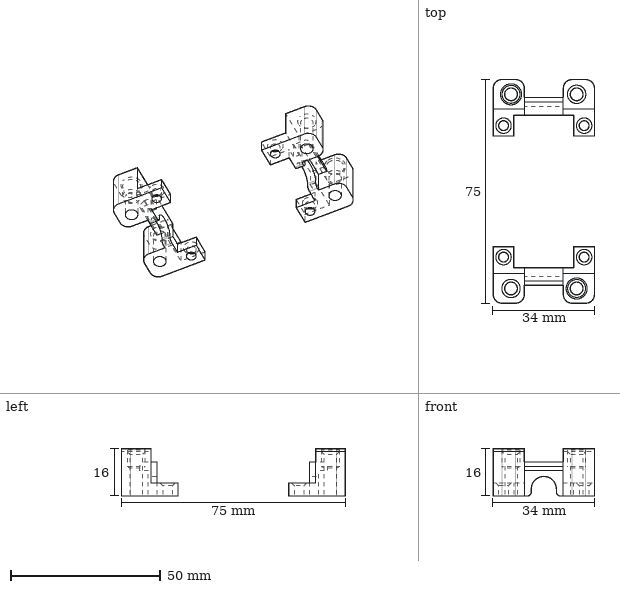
import cadquery as cq
import math


pair_length = 75.0
bracket_width = 34.0
tall_height = 16.0
height_step = 1.0
short_height = tall_height - height_step

column_width = 10.5
column_depth = 10.0
column_corner_radius = 3.0
base_depth = 12.0
foot_reach = 19.0
foot_width = 7.0
foot_height = 4.5

bridge_top = 11.5
bridge_underside = 8.55
bridge_depth = 6.0
bridge_chamfer = 1.5
web_thickness = 3.0

arch_width = 8.3
arch_top = 6.6
arch_lip_radius = 1.5

column_hole_spacing = 22.0
column_hole_diameter = 4.2
countersink_depth = 1.0
counterbore_diameter = 6.0
counterbore_depth = 6.0
counterbore_chamfer = 0.5
seat_angle = 118

foot_hole_diameter = 3.2

outer_y = -pair_length / 2
column_back_y = outer_y + column_depth
base_back_y = outer_y + base_depth
column_center_x = (bracket_width - column_width) / 2
column_hole_x = column_hole_spacing / 2
column_hole_y = outer_y + column_depth / 2
foot_center_x = (bracket_width - foot_width) / 2
foot_hole_y = outer_y + foot_reach - foot_width / 2
bridge_length = bracket_width - 2 * column_width


def block(center_x, width, y_start, y_end, height):
    """Box standing on z = 0 between two y positions."""
    return (
        cq.Workplane("XY")
        .center(center_x, (y_start + y_end) / 2)
        .rect(width, y_end - y_start)
        .extrude(height)
    )


def column(center_x, height):
    """Upright column with its two outer corners rounded."""
    post = block(center_x, column_width, outer_y, column_back_y, height)
    return post.edges("|Z and <Y").fillet(column_corner_radius)


def side_base(side):
    """Low pad behind a column, with the screw foot reaching inward from it."""
    y_start = column_back_y - column_corner_radius
    pad = block(side * column_center_x, column_width, y_start, base_back_y, foot_height)
    foot = block(side * foot_center_x, foot_width, y_start, outer_y + foot_reach, foot_height)
    return pad.union(foot)


def bridge():
    """Thin web with a thicker chamfered bar along its top."""
    bar_front_y = base_back_y - bridge_depth
    web_front_y = base_back_y - web_thickness
    return (
        cq.Workplane("YZ", origin=(-bridge_length / 2, 0, 0))
        .moveTo(base_back_y, 0)
        .lineTo(base_back_y, bridge_top)
        .lineTo(bar_front_y + bridge_chamfer, bridge_top)
        .lineTo(bar_front_y, bridge_top - bridge_chamfer)
        .lineTo(bar_front_y, bridge_underside)
        .lineTo(web_front_y, bridge_underside)
        .lineTo(web_front_y, 0)
        .close()
        .extrude(bridge_length)
    )


def arch_cutter():
    """Round-topped opening that widens at its bottom over two convex rounded lips."""
    half_width = arch_width / 2
    spring_z = arch_top - half_width
    flare_x = half_width + arch_lip_radius
    return (
        cq.Workplane("XZ", origin=(0, base_back_y, 0))
        .moveTo(-flare_x, 0)
        .radiusArc((-half_width, arch_lip_radius), -arch_lip_radius)
        .lineTo(-half_width, spring_z)
        .threePointArc((0, arch_top), (half_width, spring_z))
        .lineTo(half_width, arch_lip_radius)
        .radiusArc((flare_x, 0), -arch_lip_radius)
        .close()
        .extrude(web_thickness)
    )


def countersunk_hole(x, y, top, diameter):
    """Through-hole cutter with a 45 degree countersink at its top."""
    radius = diameter / 2
    return (
        cq.Workplane("XZ")
        .moveTo(0, 0)
        .lineTo(radius, 0)
        .lineTo(radius, top - countersink_depth)
        .lineTo(radius + countersink_depth, top)
        .lineTo(0, top)
        .close()
        .revolve(360, (0, 0, 0), (0, 1, 0))
        .translate((x, y, 0))
    )


def counterbored_hole(x, y, top):
    """Through-hole cutter with a chamfered counterbore ending in a drill-point seat."""
    hole_radius = column_hole_diameter / 2
    bore_radius = counterbore_diameter / 2
    seat_top = top - counterbore_depth
    seat_height = (bore_radius - hole_radius) / math.tan(math.radians(seat_angle / 2))
    return (
        cq.Workplane("XZ")
        .moveTo(0, 0)
        .lineTo(hole_radius, 0)
        .lineTo(hole_radius, seat_top - seat_height)
        .lineTo(bore_radius, seat_top)
        .lineTo(bore_radius, top - counterbore_chamfer)
        .lineTo(bore_radius + counterbore_chamfer, top)
        .lineTo(0, top)
        .close()
        .revolve(360, (0, 0, 0), (0, 1, 0))
        .translate((x, y, 0))
    )


def make_bracket():
    """Bracket with the short column at -X and the tall column at +X."""
    body = bridge().cut(arch_cutter())
    body = body.union(column(-column_center_x, short_height))
    body = body.union(column(column_center_x, tall_height))
    for side in (-1, 1):
        body = body.union(side_base(side))
    for side in (-1, 1):
        body = body.cut(
            countersunk_hole(side * foot_center_x, foot_hole_y, foot_height, foot_hole_diameter)
        )
    body = body.cut(
        countersunk_hole(-column_hole_x, column_hole_y, short_height, column_hole_diameter)
    )
    return body.cut(counterbored_hole(column_hole_x, column_hole_y, tall_height))


brackets = []
for turn in (0, 180):
    bracket = make_bracket().rotate((0, 0, 0), (0, 0, 1), turn)
    brackets.append(bracket.solids().val())

result = cq.Compound.makeCompound(brackets)